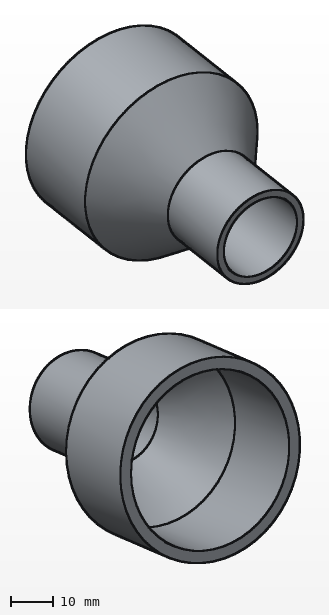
import cadquery as cq

total_length = 60.0
large_length = 24.0
small_length = 20.0
large_outer_diameter = 50.0
large_bore_diameter = 44.0
small_outer_diameter = 25.0
small_bore_diameter = 21.2

cone_start = large_length
cone_end = total_length - small_length


def reducer_solid(large_diameter, small_diameter):
    """Solid of revolution about X: large cylinder, cone, small cylinder."""
    large_radius = large_diameter / 2
    small_radius = small_diameter / 2
    half_profile = (
        cq.Workplane("XY")
        .moveTo(0, 0)
        .lineTo(0, large_radius)
        .lineTo(cone_start, large_radius)
        .lineTo(cone_end, small_radius)
        .lineTo(total_length, small_radius)
        .lineTo(total_length, 0)
        .close()
    )
    return half_profile.revolve(360, (0, 0, 0), (1, 0, 0))


outer_body = reducer_solid(large_outer_diameter, small_outer_diameter)
bore = reducer_solid(large_bore_diameter, small_bore_diameter)

result = outer_body.cut(bore)